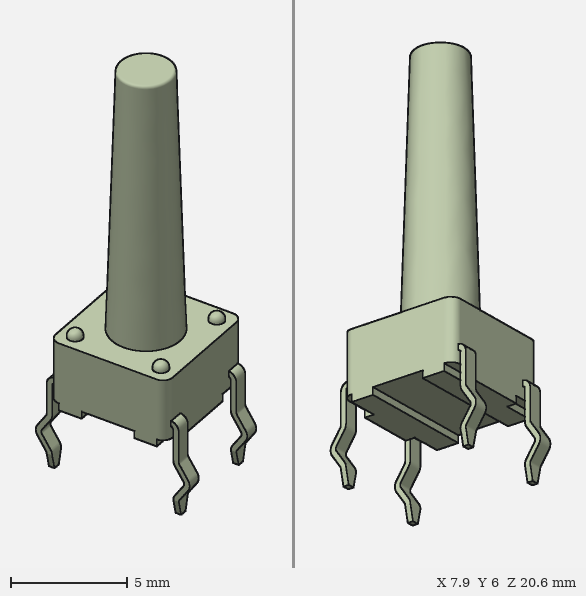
import cadquery as cq
import math


body_side = 6.0
body_height = 3.5
body_corner_radius = 0.5
foot_height = 0.37
channel_width = 2.7
corner_relief_x = 0.5
side_foot_width = 2.88

overall_height = 20.55
lead_drop = 3.55
stem_base_diameter = 3.5
stem_top_diameter = 2.63
stem_edge_radius = 0.16
stem_height = overall_height - lead_drop - body_height

peg_diameter = 0.75
peg_height = 0.41
peg_offset = 2.2

lead_span = 7.9
lead_width = 0.72
lead_thickness = 0.29
lead_offset_y = 2.26
lead_shank_x = 3.25
lead_exit_z = 1.15
lead_embed = 0.2
shoulder_radius = 0.29
kink_radius = 0.35
kink_z = -1.75
kink_angle = math.radians(34)
tip_width = 0.35
tip_taper_z = -2.77

half_body = body_side / 2


def make_housing():
    housing = (
        cq.Workplane("XY")
        .rect(body_side, body_side)
        .extrude(body_height)
        .edges("|Z")
        .fillet(body_corner_radius)
    )
    channel = cq.Workplane("XY").rect(channel_width, body_side).extrude(foot_height)
    housing = housing.cut(channel)

    relief_y = (body_side - side_foot_width) / 2
    corner_centers = [
        (sx * (half_body - corner_relief_x / 2), sy * (half_body - relief_y / 2))
        for sx in (-1, 1)
        for sy in (-1, 1)
    ]
    reliefs = (
        cq.Workplane("XY")
        .pushPoints(corner_centers)
        .rect(corner_relief_x, relief_y)
        .extrude(foot_height)
    )
    return housing.cut(reliefs)


def make_stem():
    return (
        cq.Workplane("XY", origin=(0, 0, body_height))
        .circle(stem_base_diameter / 2)
        .workplane(offset=stem_height)
        .circle(stem_top_diameter / 2)
        .loft()
        .faces(">Z")
        .edges()
        .fillet(stem_edge_radius)
    )


def make_peg(x, y):
    """Short cylinder ending in a hemisphere."""
    radius = peg_diameter / 2
    return (
        cq.Workplane("XY", origin=(x, y, body_height))
        .circle(radius)
        .extrude(peg_height - radius)
        .union(cq.Workplane("XY", origin=(x, y, body_height + peg_height - radius)).sphere(radius))
    )


def make_lead():
    """Lead on the +X, +Y corner: strip bent along a centreline, with a narrowed tip."""
    rounding_loss = kink_radius * (1 / math.cos(kink_angle) - 1)
    kink_x = (lead_span - lead_thickness) / 2 + rounding_loss
    kink_half_height = (kink_x - lead_shank_x) / math.tan(kink_angle)

    corners = [
        (lead_shank_x, lead_exit_z, shoulder_radius),
        (lead_shank_x, kink_z + kink_half_height, kink_radius),
        (kink_x, kink_z, kink_radius),
        (lead_shank_x, kink_z - kink_half_height, kink_radius),
    ]
    start = (half_body - lead_embed, lead_exit_z)
    end = (lead_shank_x, -lead_drop)
    path = make_bent_path(start, corners, end)
    strip = (
        cq.Workplane("YZ", origin=(start[0], lead_offset_y, lead_exit_z))
        .rect(lead_width, lead_thickness)
        .sweep(path)
    )

    tip_outline = (
        cq.Workplane("YZ", origin=(0, lead_offset_y, 0))
        .moveTo(-lead_width / 2, body_height)
        .lineTo(-lead_width / 2, tip_taper_z)
        .lineTo(-tip_width / 2, -lead_drop)
        .lineTo(tip_width / 2, -lead_drop)
        .lineTo(lead_width / 2, tip_taper_z)
        .lineTo(lead_width / 2, body_height)
        .close()
        .extrude(lead_span)
    )
    return strip.intersect(tip_outline)


def make_bent_path(start, corners, end):
    """Line from start to end through corners, each rounded by a tangent arc."""
    points = [cq.Vector(*start)] + [cq.Vector(x, z) for x, z, _ in corners] + [cq.Vector(*end)]
    path = cq.Workplane("XZ", origin=(0, lead_offset_y, 0)).moveTo(*start)
    for index, (_, _, radius) in enumerate(corners, start=1):
        corner = points[index]
        back = (points[index - 1] - corner).normalized()
        ahead = (points[index + 1] - corner).normalized()
        half_angle = back.getAngle(ahead) / 2
        inward = (back + ahead).normalized()
        arc_start = corner + back * (radius / math.tan(half_angle))
        arc_end = corner + ahead * (radius / math.tan(half_angle))
        arc_middle = corner + inward * (radius / math.sin(half_angle) - radius)
        path = (
            path.lineTo(arc_start.x, arc_start.y)
            .threePointArc((arc_middle.x, arc_middle.y), (arc_end.x, arc_end.y))
        )
    return path.lineTo(*end)


result = make_housing().union(make_stem())

for side_x in (-1, 1):
    for side_y in (-1, 1):
        result = result.union(make_peg(side_x * peg_offset, side_y * peg_offset))

lead = make_lead()
lead_pair = lead.union(lead.mirror("XZ"))
result = result.union(lead_pair).union(lead_pair.mirror("YZ"))